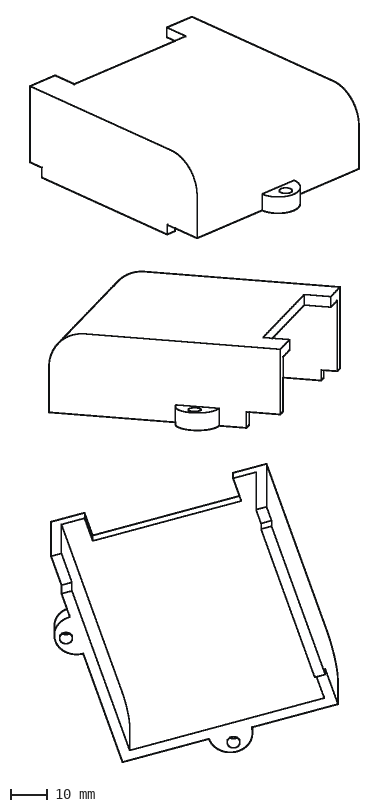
import cadquery as cq

length = 65.0
width = 61.1
height = 23.0
wall = 3.0
corner_radius = 10.0

roof_cutout_depth = 7.45
roof_cutout_margin = 9.5

tab_start = 4.55
tab_length = 48.8
tab_drop = 3.0

notch_length = 9.5
notch_height = 4.55

lug_radius = 6.0
lug_height = 5.0
lug_hole_diameter = 3.5
lug_hole_distance = 3.0
rear_lug_x = 23.2


def box(size_x, size_y, size_z, corner):
    """Box whose lowest-coordinate corner is at the given point."""
    return cq.Workplane("XY").box(size_x, size_y, size_z, centered=False).translate(corner)


def make_shell():
    outer = box(length, width, height, (0, 0, 0))
    outer = outer.edges(">X and >Z").fillet(corner_radius)
    cavity = box(length - wall, width - 2 * wall, height - wall, (0, wall, 0))
    cavity = cavity.edges(">X and >Z").fillet(corner_radius - wall)
    return outer.cut(cavity)


def make_lug(x, y, turn):
    """Lug that points along +Y before it is turned about Z and moved to its wall."""
    lug = (
        cq.Workplane("XY")
        .moveTo(-lug_radius, 0)
        .threePointArc((0, lug_radius), (lug_radius, 0))
        .close()
        .extrude(lug_height)
    )
    hole = (
        cq.Workplane("XY")
        .center(0, lug_hole_distance)
        .circle(lug_hole_diameter / 2)
        .extrude(lug_height)
    )
    return lug.cut(hole).rotate((0, 0, 0), (0, 0, 1), turn).translate((x, y, 0))


roof_cutout = box(
    roof_cutout_depth,
    width - 2 * roof_cutout_margin,
    wall,
    (0, roof_cutout_margin, height - wall),
)
rear_notch = box(notch_length, wall, notch_height, (0, width - wall, 0))

front_tab = box(tab_length, wall, tab_drop, (tab_start, 0, -tab_drop))

result = (
    make_shell()
    .cut(roof_cutout)
    .cut(rear_notch)
    .union(front_tab)
    .union(make_lug(rear_lug_x, width, 0))
    .union(make_lug(length, width / 2, -90))
)